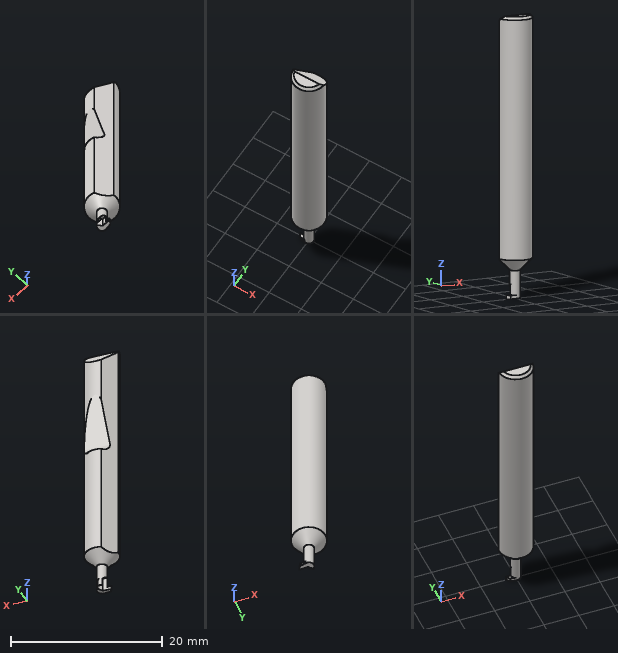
import cadquery as cq
import math

length = 38.1
shank_radius = 2.38
neck_radius = 0.72
shoulder_z = 5.5
cone_height = shank_radius - neck_radius
top_chamfer = 0.4

bevel_start_y = -0.55
flat_distance = 2.0
flat_angle = 37.0

notch_top_z = 29.85
notch_bottom_z = 21.1
notch_floor_y = 1.15
notch_radius = 1.15

tip_x = -1.37
heel_x = -1.0
heel_y = -0.57
tooth_top_z = 0.55
flank_bulge = 0.05
end_relief_angle = 2.5

pocket_top_z = 1.95
pocket_corner_x = -0.1
pocket_radius = 0.65

clearance = 7.62


def make_body():
    """Shank, cone and neck as one turned profile."""
    return (
        cq.Workplane("XZ")
        .moveTo(0, 0)
        .lineTo(neck_radius, 0)
        .lineTo(neck_radius, shoulder_z - cone_height)
        .lineTo(shank_radius, shoulder_z)
        .lineTo(shank_radius, length - top_chamfer)
        .lineTo(shank_radius - top_chamfer, length)
        .lineTo(0, length)
        .close()
        .revolve(360, (0, 0, 0), (0, 1, 0))
    )


def make_bevel():
    """45 degree wedge removed from the +Y side of the top."""
    return (
        cq.Workplane("YZ")
        .moveTo(bevel_start_y, length)
        .lineTo(bevel_start_y + clearance, length - clearance)
        .lineTo(bevel_start_y + clearance, length)
        .close()
        .extrude(clearance, both=True)
    )


def make_flat():
    """Block beyond the locating flat, over the shank and cone."""
    base_z = shoulder_z - cone_height
    return (
        cq.Workplane("XY", origin=(0, 0, base_z))
        .center(-flat_distance - clearance / 2, 0)
        .rect(clearance, clearance)
        .extrude(length - base_z)
        .rotate((0, 0, 0), (0, 0, 1), -flat_angle)
    )


def make_notch():
    """Ramp down from the +Y side, ending in a rounded step."""
    arc_center_y = notch_floor_y + notch_radius
    arc_center_z = notch_bottom_z + notch_radius
    arc_offset = notch_radius * math.sqrt(0.5)
    return (
        cq.Workplane("YZ")
        .moveTo(shank_radius, notch_top_z)
        .lineTo(notch_floor_y, arc_center_z)
        .threePointArc(
            (arc_center_y - arc_offset, arc_center_z - arc_offset),
            (arc_center_y, notch_bottom_z),
        )
        .lineTo(shank_radius + clearance, notch_bottom_z)
        .lineTo(shank_radius + clearance, notch_top_z)
        .close()
        .extrude(clearance, both=True)
    )


def make_tooth():
    """Hooked tooth with its rake face on y = 0 and a curved flank."""
    chord = math.hypot(heel_x - tip_x, heel_y)
    bulge_x = (tip_x + heel_x) / 2 + flank_bulge * heel_y / chord
    bulge_y = heel_y / 2 - flank_bulge * (heel_x - tip_x) / chord
    return (
        cq.Workplane("XY")
        .moveTo(0, 0)
        .lineTo(tip_x, 0)
        .threePointArc((bulge_x, bulge_y), (heel_x, heel_y))
        .lineTo(0, -neck_radius)
        .close()
        .extrude(tooth_top_z)
    )


def make_pocket():
    """Pocket ahead of the rake face, with a slanted floor parallel to the flat."""
    arc_offset = pocket_radius * math.sqrt(0.5)
    arc_center_z = pocket_top_z - pocket_radius
    side_profile = (
        cq.Workplane("YZ")
        .moveTo(0, 0)
        .lineTo(0, pocket_top_z)
        .threePointArc((arc_offset, arc_center_z + arc_offset), (pocket_radius, arc_center_z))
        .lineTo(pocket_radius, tooth_top_z)
        .lineTo(clearance, tooth_top_z)
        .lineTo(clearance, 0)
        .close()
        .extrude(clearance, both=True)
    )
    floor_run = clearance * math.tan(math.radians(flat_angle))
    ahead_of_floor = (
        cq.Workplane("XY")
        .moveTo(pocket_corner_x, 0)
        .lineTo(pocket_corner_x + floor_run, clearance)
        .lineTo(-clearance, clearance)
        .lineTo(-clearance, 0)
        .close()
        .extrude(pocket_top_z)
    )
    return side_profile.intersect(ahead_of_floor)


def make_end_relief():
    """Block below the end face, which rises from the tip towards +X."""
    return (
        cq.Workplane("XY", origin=(tip_x, 0, -clearance))
        .rect(2 * clearance, 2 * clearance)
        .extrude(clearance)
        .rotate((tip_x, 0, 0), (tip_x, 1, 0), -end_relief_angle)
    )


result = (
    make_body()
    .cut(make_bevel())
    .cut(make_flat())
    .cut(make_notch())
    .union(make_tooth())
    .cut(make_pocket())
    .cut(make_end_relief())
)